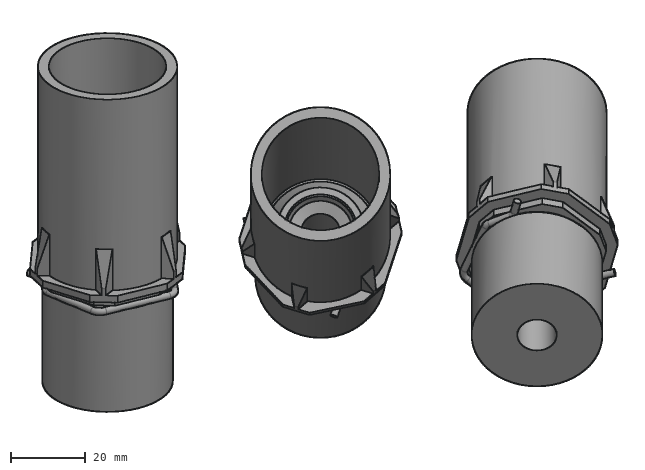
import cadquery as cq
import math

total_height = 96.0
groove_bottom_z = 30.9
groove_height = 2.1
collar_bottom_z = groove_bottom_z + groove_height
flange_bottom_z = 35.6
flange_top_z = 37.7
rib_shoulder_z = 39.8
rib_top_z = 50.3

spigot_radius = 17.6
groove_radius = 16.1
socket_radius = 18.7
collar_narrow_apothem = 17.5
collar_wide_apothem = 18.5
flange_narrow_apothem = 41.0 / 2
flange_wide_apothem = 43.0 / 2

rib_count = 6
first_rib_angle = 30.0
rib_apex_radius = 22.5
rib_root_radius = 17.8
rib_side_angle = 30.0

socket_bore_radius = 15.7
socket_floor_z = flange_top_z
nozzle_base_radius = 15.1
nozzle_top_radius = 11.7
nozzle_height = 5.8
mouth_radius = 9.8
mouth_chamfer_depth = 0.3
throat_radius = 9.3
throat_depth = 1.7
funnel_top_radius = 8.5
funnel_depth = 1.2
through_bore_radius = 5.3

wire_diameter = 2.0
wire_radius = wire_diameter / 2
wire_z = groove_bottom_z + groove_height / 2
back_x = groove_radius + wire_radius
crown_y = 18.5
side_slope_angle = 22.0
leg_angle = 30.0
leg_end_x = -11.4
leg_end_y = 17.9
bend_radius = 1.9
back_bend_radius = 2.9


def hexagonal_prism(apothem, first_flat_angle, bottom_z, top_z):
    """Hexagonal prism with one flat facing the given angle from +X."""
    half_side_angle = 30
    corner_radius = apothem / math.cos(math.radians(half_side_angle))
    corner_angles = [
        math.radians(first_flat_angle + half_side_angle + 2 * half_side_angle * index)
        for index in range(6)
    ]
    return (
        cq.Workplane("XY")
        .workplane(offset=bottom_z)
        .polyline([(corner_radius * math.cos(a), corner_radius * math.sin(a)) for a in corner_angles])
        .close()
        .extrude(top_z - bottom_z)
    )


def twelve_sided_prism(narrow_apothem, wide_apothem, bottom_z, top_z):
    """Overlap of two hexagonal prisms: narrow one with flats on +-X, wide one with flats on +-Y."""
    narrow = hexagonal_prism(narrow_apothem, 0, bottom_z, top_z)
    return narrow.intersect(hexagonal_prism(wide_apothem, 30, bottom_z, top_z))


def make_rib():
    """One tapered rib, pointing along +X."""
    spread = math.tan(math.radians(rib_side_angle))
    root_half_width = (rib_apex_radius - rib_root_radius) * spread
    wedge = (
        cq.Workplane("XY")
        .workplane(offset=flange_bottom_z)
        .polyline([
            (rib_apex_radius, 0),
            (rib_root_radius, root_half_width),
            (rib_root_radius, -root_half_width),
        ])
        .close()
        .extrude(rib_top_z - flange_bottom_z)
    )
    side_profile = (
        cq.Workplane("XZ")
        .polyline([
            (rib_root_radius, flange_bottom_z),
            (flange_wide_apothem, flange_bottom_z),
            (flange_wide_apothem, rib_shoulder_z),
            (socket_radius, rib_top_z),
            (rib_root_radius, rib_top_z),
        ])
        .close()
        .extrude(root_half_width, both=True)
    )
    return wedge.intersect(side_profile)


def make_cavity():
    """Everything removed from the inside, as one turned shape."""
    nozzle_top_z = socket_floor_z + nozzle_height
    throat_top_z = nozzle_top_z - mouth_chamfer_depth
    funnel_top_z = throat_top_z - throat_depth
    funnel_bottom_z = funnel_top_z - funnel_depth
    return (
        cq.Workplane("XZ")
        .polyline([
            (0, 0),
            (through_bore_radius, 0),
            (through_bore_radius, funnel_bottom_z),
            (funnel_top_radius, funnel_top_z),
            (throat_radius, throat_top_z),
            (mouth_radius, nozzle_top_z),
            (nozzle_top_radius, nozzle_top_z),
            (nozzle_base_radius, socket_floor_z),
            (socket_bore_radius, socket_floor_z),
            (socket_bore_radius, total_height),
            (0, total_height),
        ])
        .close()
        .revolve(360, (0, 0, 0), (0, 1, 0))
    )


def make_sleeve():
    """Spigot, grooved neck, collar, flange, ribbed socket and the cavity through them."""
    spigot = cq.Workplane("XY").circle(spigot_radius).extrude(groove_bottom_z)
    core = cq.Workplane("XY").circle(groove_radius).extrude(flange_bottom_z)
    collar = twelve_sided_prism(
        collar_narrow_apothem, collar_wide_apothem, collar_bottom_z, flange_bottom_z
    )
    flange = twelve_sided_prism(
        flange_narrow_apothem, flange_wide_apothem, flange_bottom_z, flange_top_z
    )
    socket = (
        cq.Workplane("XY")
        .workplane(offset=flange_bottom_z)
        .circle(socket_radius)
        .extrude(total_height - flange_bottom_z)
    )
    body = spigot.union(core).union(collar).union(flange).union(socket)
    rib = make_rib()
    for index in range(rib_count):
        angle = first_rib_angle + index * 360 / rib_count
        body = body.union(rib.rotate((0, 0, 0), (0, 0, 1), angle))
    return body.cut(make_cavity())


def rounded_path(corners, radii):
    """Wire path through the corners, with an arc of the given radius at each inner corner."""
    path = cq.Workplane("XY").workplane(offset=wire_z).moveTo(*corners[0])
    for before, corner, after, radius in zip(corners, corners[1:], corners[2:], radii):
        here = cq.Vector(*corner)
        back = (cq.Vector(*before) - here).normalized()
        ahead = (cq.Vector(*after) - here).normalized()
        half_angle = back.getAngle(ahead) / 2
        start = here + back * (radius / math.tan(half_angle))
        end = here + ahead * (radius / math.tan(half_angle))
        middle = here + (back + ahead).normalized() * (radius / math.sin(half_angle) - radius)
        path = path.lineTo(start.x, start.y).threePointArc((middle.x, middle.y), (end.x, end.y))
    return path.lineTo(*corners[-1])


def make_clip():
    """Round wire clip, open on the -X side, with both ends turned outward."""
    side_slope = math.tan(math.radians(side_slope_angle))
    leg_slope = math.tan(math.radians(leg_angle))
    leg_start_x = (leg_end_y + leg_slope * leg_end_x - crown_y) / (side_slope + leg_slope)
    leg_start_y = crown_y + side_slope * leg_start_x
    back_y = crown_y - side_slope * back_x
    upper_half = [
        (leg_end_x, leg_end_y),
        (leg_start_x, leg_start_y),
        (0, crown_y),
        (back_x, back_y),
    ]
    lower_half = [(x, -y) for x, y in reversed(upper_half)]
    half_radii = [bend_radius, bend_radius, back_bend_radius]
    path = rounded_path(upper_half + lower_half, half_radii + half_radii[::-1])
    leg_direction = (math.cos(math.radians(leg_angle)), -math.sin(math.radians(leg_angle)), 0)
    end_plane = cq.Plane(origin=(leg_end_x, leg_end_y, wire_z), xDir=(0, 0, 1), normal=leg_direction)
    return cq.Workplane(end_plane).circle(wire_radius).sweep(path)


sleeve = make_sleeve()
clip = make_clip()

result = cq.Compound.makeCompound([sleeve.solids().val(), clip.val()])